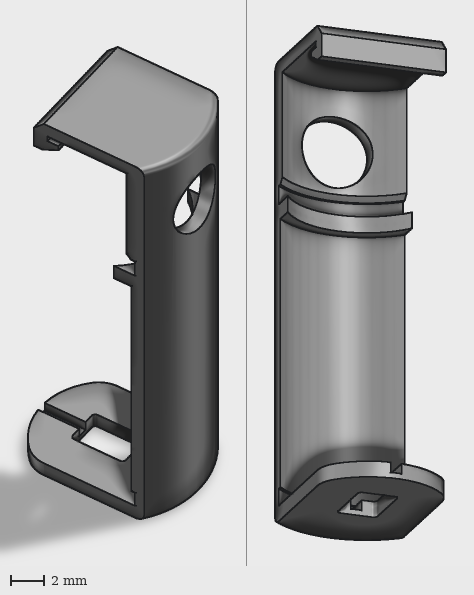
import cadquery as cq

height = 29.5
width = 8.0
outer_radius = 6.45
edge_round = 0.5

thick_radius = 5.52
main_radius = 5.75
relief_radius = 5.95
ledge_radius = 4.93
relief_height = 1.1
ledge_bottom = 19.3
ledge_top = 20.33
thick_bottom = 21.5
thick_chamfer = main_radius - thick_radius
thick_chamfer_height = 0.35

base_thickness = 1.0
base_left = -5.05
base_nose_radius = 4.78
base_corner_radius = 2.05
base_center = base_left + base_nose_radius
window_center = -0.15
window_length = 3.85
window_width = 2.55
window_corner_radius = 0.27
groove_width = 0.7
groove_depth = 0.65

top_thickness = 0.91
hook_left = -2.92
hook_chamfer = 0.75
hook_height = 2.2
hook_foot = 0.65
hook_wall = 1.0
tooth_reach = 0.8
tooth_top_drop = 1.3
tooth_tip_height = 0.35

hole_diameter = 4.55
hole_z = 24.55


def make_envelope():
    """Cylinder with rounded ends that bounds the outside of the part."""
    return (
        cq.Workplane("XY")
        .circle(outer_radius)
        .extrude(height)
        .faces("<Z or >Z")
        .edges()
        .fillet(edge_round)
        .rotate((0, 0, 0), (0, 0, 1), 180)
    )


def make_wall():
    """Curved wall with its inner bands, limited to the +X side of the axis."""
    relief_top = base_thickness + relief_height
    ring = (
        cq.Workplane("XZ")
        .moveTo(outer_radius, 0)
        .lineTo(relief_radius, 0)
        .lineTo(relief_radius, relief_top)
        .lineTo(main_radius, relief_top)
        .lineTo(main_radius, ledge_bottom)
        .lineTo(ledge_radius, ledge_bottom)
        .lineTo(ledge_radius, ledge_top)
        .lineTo(relief_radius, ledge_top)
        .lineTo(relief_radius, thick_bottom)
        .lineTo(thick_radius + thick_chamfer, thick_bottom)
        .lineTo(thick_radius, thick_bottom + thick_chamfer_height)
        .lineTo(thick_radius, height)
        .lineTo(outer_radius, height)
        .close()
        .revolve(360, (0, 0), (0, 1))
        .rotate((0, 0, 0), (0, 0, 1), 180)
    )
    limits = cq.Workplane("XY").box(outer_radius, width, height, centered=(False, True, False))
    return ring.intersect(limits)


def make_base():
    """Solid base plate with a round nose and blended corners."""
    nose = cq.Workplane("XY").center(base_center, 0).circle(base_nose_radius).extrude(base_thickness)
    body = (
        cq.Workplane("XY")
        .center(base_center, 0)
        .rect(outer_radius - base_center, width, centered=(False, True))
        .extrude(base_thickness)
    )
    strip = cq.Workplane("XY").box(2 * outer_radius, width, height, centered=(True, True, False))
    plate = nose.union(body).intersect(strip)
    return plate.edges("|Z").edges("<X").fillet(base_corner_radius)


def make_top():
    """Top plate with the snap hook hanging from its free end."""
    tooth_x = hook_left + hook_wall
    tooth_z = height - tooth_top_drop
    return (
        cq.Workplane("XZ")
        .moveTo(outer_radius, height)
        .lineTo(hook_left + hook_chamfer, height)
        .lineTo(hook_left, height - hook_chamfer)
        .lineTo(hook_left, height - hook_height)
        .lineTo(hook_left + hook_foot, height - hook_height)
        .lineTo(tooth_x + tooth_reach, tooth_z - tooth_tip_height)
        .lineTo(tooth_x + tooth_reach, tooth_z)
        .lineTo(tooth_x, tooth_z)
        .lineTo(tooth_x, height - top_thickness)
        .lineTo(outer_radius, height - top_thickness)
        .close()
        .extrude(width / 2, both=True)
    )


def make_window():
    """Rectangular opening through the base plate."""
    return (
        cq.Workplane("XY")
        .center(window_center, 0)
        .rect(window_length, window_width)
        .extrude(base_thickness)
        .edges("|Z")
        .fillet(window_corner_radius)
    )


def make_groove():
    """Lengthwise groove in the base, from the nose to the inside of the wall."""
    return (
        cq.Workplane("XY")
        .workplane(offset=base_thickness - groove_depth)
        .center(base_left, 0)
        .rect(relief_radius - base_left, groove_width, centered=(False, True))
        .extrude(groove_depth)
    )


def make_hole():
    """Round hole through the wall along X."""
    return cq.Workplane("YZ").center(0, hole_z).circle(hole_diameter / 2).extrude(outer_radius)


body = make_wall().union(make_base()).union(make_top()).intersect(make_envelope())
result = body.cut(make_window()).cut(make_groove()).cut(make_hole())